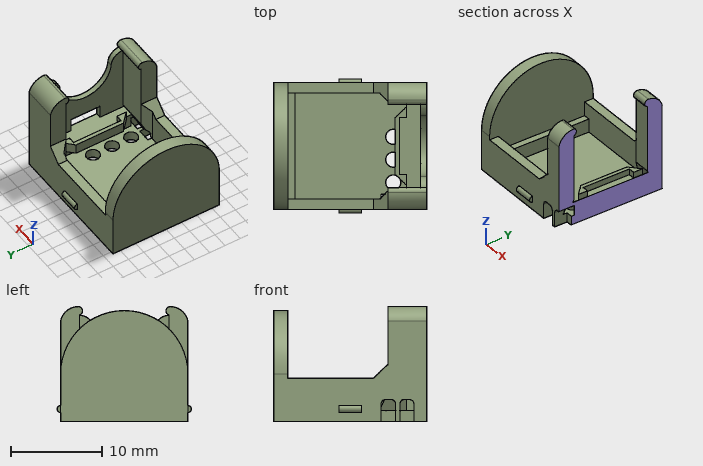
import cadquery as cq
import math

length = 16.75
width = 13.94
half_width = width / 2
height = 12.6

rail_height = 4.75
rail_thickness = 1.17
cavity_half = half_width - rail_thickness
floor_height = 1.2

plate_thickness = 1.54
plate_height = 12.16
ledge_end = 2.35

clip_start = 12.48
clip_thickness = 2.06
clip_inner = half_width - clip_thickness
clip_chamfer_start = 10.9
clip_chamfer_top = 6.26
clip_taper_start = 11.57
clip_undercut_top = 3.18
clip_shoulder = 11.02
bulb_radius = 0.49
bulb_y = 5.05
bulb_z = height - bulb_radius
clip_crown_radius = 1.93

wall_start = 16.08
wall_top = 11.64
mouth_radius = 3.15 / 2
mouth_z = wall_top - mouth_radius
cradle_z = 10.38
cradle_radius = math.hypot(clip_inner, cradle_z - mouth_z) - mouth_radius
window_half = 1.9
window_top = 4.6

shelf_start = 14.55
shelf_height = 2.93
lip_start = 13.28
lip_thickness = 0.47
lip_bottom = 2.41
lip_top = 3.68
lip_half = 3.1
lip_root_half = 4.32

hole_diameter = 1.62
hole_x = 13.08
hole_pitch = 2.5
first_hole_y = 1.0
hole_count = 3
slot_spans = [(11.75, 13.35), (13.8, 15.35)]
slot_base_depth = 1.68
slot_height = 2.41
slot_corner_radius = 0.5

pin_start = 7.12
pin_length = 2.5
pin_z = 1.37
pin_radius = 0.4
pin_projection = 0.39


def box(x0, x1, y0, y1, z0, z1):
    """Box given by its limits along each axis."""
    return cq.Workplane("XY").box(x1 - x0, y1 - y0, z1 - z0, centered=False).translate((x0, y0, z0))


def section(x):
    """Sketch plane across the part at x, with local axes Y and Z."""
    return cq.Workplane("YZ", origin=(x, 0, 0))


def both_sides(solid):
    """The solid together with its mirror image across Y = 0."""
    return solid.union(solid.mirror("XZ"))


def make_tray():
    tray = box(0, length, -half_width, half_width, 0, rail_height)
    cavity = box(plate_thickness, shelf_start, -cavity_half, cavity_half, floor_height, height)
    above_shelf = box(shelf_start, wall_start, -cavity_half, cavity_half, shelf_height, height)
    ledge = box(plate_thickness, ledge_end, -cavity_half, cavity_half, 0, shelf_height)
    return tray.cut(cavity).cut(above_shelf).union(ledge)


def make_end_plate():
    return (
        section(0)
        .moveTo(-half_width, 0)
        .lineTo(half_width, 0)
        .lineTo(half_width, plate_height - half_width)
        .threePointArc((0, plate_height), (-half_width, plate_height - half_width))
        .close()
        .extrude(plate_thickness)
    )


def make_clip():
    """Clip on the +Y side, with its chamfered foot, tapered inner corner and undercut."""
    crown_angle = math.radians(45)
    crown_mid = (
        bulb_y + clip_crown_radius * math.cos(crown_angle),
        height - clip_crown_radius * (1 - math.sin(crown_angle)),
    )
    post = (
        section(clip_chamfer_start)
        .moveTo(clip_inner, 0)
        .lineTo(half_width, 0)
        .lineTo(half_width, clip_shoulder)
        .threePointArc(crown_mid, (bulb_y, height))
        .lineTo(clip_inner, bulb_z)
        .close()
        .extrude(length - clip_chamfer_start)
    )
    bulb = section(clip_start).center(bulb_y, bulb_z).circle(bulb_radius).extrude(length - clip_start)
    side_profile = (
        cq.Workplane("XZ")
        .polyline([
            (clip_chamfer_start, 0),
            (length, 0),
            (length, height),
            (clip_start, height),
            (clip_start, clip_chamfer_top),
            (clip_chamfer_start, rail_height),
        ])
        .close()
        .extrude(-half_width)
    )
    taper = (
        cq.Workplane("XY")
        .polyline([
            (clip_chamfer_start, cavity_half),
            (clip_taper_start, cavity_half),
            (clip_start, clip_inner),
            (clip_chamfer_start, clip_inner),
        ])
        .close()
        .extrude(height)
    )
    undercut = (
        section(clip_chamfer_start)
        .polyline([(clip_inner, floor_height), (cavity_half, floor_height), (clip_inner, clip_undercut_top)])
        .close()
        .extrude(wall_start - clip_chamfer_start)
    )
    shelf_root = box(shelf_start, wall_start, clip_inner, cavity_half, 0, shelf_height)
    undercut = undercut.cut(shelf_root)
    return post.intersect(side_profile).cut(taper).cut(undercut).union(bulb)


def make_end_wall():
    """Wall whose round cradle flares into the convex tops beside the clips."""
    flare = math.atan2(cradle_z - mouth_z, clip_inner)
    joint_y = cradle_radius * math.cos(flare)
    joint_z = cradle_z - cradle_radius * math.sin(flare)
    mid_angle = (math.pi / 2 + flare) / 2
    mouth_mid_y = clip_inner - mouth_radius * math.cos(mid_angle)
    mouth_mid_z = mouth_z + mouth_radius * math.sin(mid_angle)
    wall = (
        section(wall_start)
        .moveTo(-clip_inner, 0)
        .lineTo(clip_inner, 0)
        .lineTo(clip_inner, wall_top)
        .threePointArc((mouth_mid_y, mouth_mid_z), (joint_y, joint_z))
        .threePointArc((0, cradle_z - cradle_radius), (-joint_y, joint_z))
        .threePointArc((-mouth_mid_y, mouth_mid_z), (-clip_inner, wall_top))
        .close()
        .extrude(length - wall_start)
    )
    return wall


def make_window():
    return box(wall_start, length, -window_half, window_half, shelf_height, window_top)


def make_lip():
    lip = (
        cq.Workplane("XY", origin=(0, 0, lip_bottom))
        .polyline([
            (lip_start, -lip_half),
            (lip_start, lip_half),
            (shelf_start, lip_root_half),
            (shelf_start, -lip_root_half),
        ])
        .close()
        .extrude(lip_top - lip_bottom)
    )
    recess = box(lip_start + lip_thickness, shelf_start, -lip_half, lip_half, shelf_height, lip_top)
    return lip.cut(recess)


def make_wire_holes():
    centers = [(hole_x, first_hole_y - i * hole_pitch) for i in range(hole_count)]
    return cq.Workplane("XY").pushPoints(centers).circle(hole_diameter / 2).extrude(floor_height)


def make_side_slot(start, end):
    """Open-bottomed slot in the -Y wall, deeper above the floor, with rounded upper corners."""
    slot = box(start, end, -half_width, -clip_inner, 0, slot_height)
    slot = slot.edges("|Y and >Z").fillet(slot_corner_radius)
    base_step = box(start, end, -half_width + slot_base_depth, -clip_inner, 0, floor_height)
    return slot.cut(base_step)


def make_pin():
    """Half-round pin along X on the +Y side."""
    pin_y = half_width + pin_projection - pin_radius
    return section(pin_start).center(pin_y, pin_z).circle(pin_radius).extrude(pin_length)


result = make_tray().union(make_end_plate()).union(both_sides(make_clip()))
result = result.union(make_end_wall()).union(make_lip()).union(both_sides(make_pin()))
result = result.cut(make_window()).cut(make_wire_holes())
for slot_start, slot_end in slot_spans:
    result = result.cut(make_side_slot(slot_start, slot_end))